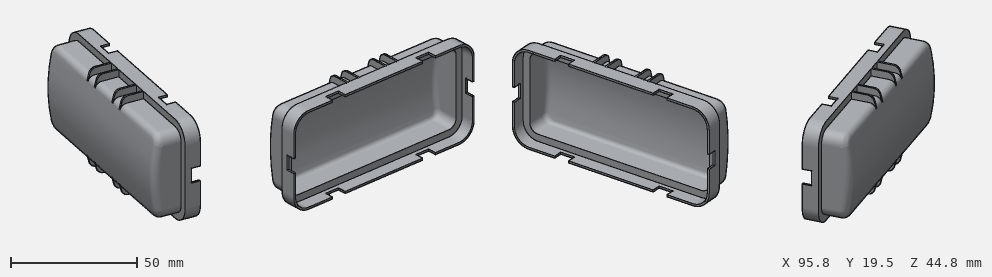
import cadquery as cq

LENGTH = 95.8
HEIGHT = 44.8
DEPTH = 19.5
WALL = 1.0

FLANGE_DEPTH = 7.0
FLANGE_CORNER_RADIUS = 8.0

BODY_INSET = 3.3
BODY_LENGTH = LENGTH - 2 * BODY_INSET
BODY_HEIGHT = HEIGHT - 2 * BODY_INSET
BODY_CORNER_RADIUS = FLANGE_CORNER_RADIUS - BODY_INSET
CROWN_RADIUS = 75.0
FRONT_FILLET = 3.0

RIB_WIDTH = 0.9
RIB_PAIR_OFFSET = 10.25
RIB_SPACING = 6.0

NOTCH_WIDTH = 6.7
NOTCH_DEPTH = 4.0
NOTCH_OFFSET = 23.95


def block(length, depth, height):
    """Box centred in X and Z, running from the back plane toward the front."""
    return cq.Workplane("XY").box(length, depth, height).translate((0, -depth / 2, 0))


def rounded_block(length, depth, height, corner_radius):
    """Block with its four corners rounded as seen from the front."""
    return block(length, depth, height).edges("|Y").fillet(corner_radius)


def crown(inset=0):
    """Cylinder along X whose foremost line is `inset` behind the front of the part."""
    axis_y = CROWN_RADIUS - DEPTH
    return (
        cq.Workplane("YZ")
        .center(axis_y, 0)
        .circle(CROWN_RADIUS - inset)
        .extrude(LENGTH / 2, both=True)
    )


def crowned_body(inset=0):
    """Rounded body with a crowned, filleted front; `inset` shrinks it evenly for the cavity."""
    body = rounded_block(
        BODY_LENGTH - 2 * inset, DEPTH, BODY_HEIGHT - 2 * inset, BODY_CORNER_RADIUS - inset
    )
    return body.intersect(crown(inset)).faces("<Y").edges().fillet(FRONT_FILLET - inset)


def rib(x):
    """Thin plate across the full height, flush with the crown and rounded at both front edges."""
    plate = block(RIB_WIDTH, DEPTH, HEIGHT).intersect(crown())
    return plate.faces("<Y").edges("|X").fillet(FRONT_FILLET).translate((x, 0, 0))


def make_outside():
    outside = rounded_block(LENGTH, FLANGE_DEPTH, HEIGHT, FLANGE_CORNER_RADIUS).union(crowned_body())
    for side in (-1, 1):
        for offset in (-RIB_SPACING / 2, RIB_SPACING / 2):
            outside = outside.union(rib(side * RIB_PAIR_OFFSET + offset))
    return outside


def make_cavity():
    """Hollow that leaves an even wall behind the flange, the body and the crowned front."""
    flange_hollow = rounded_block(
        LENGTH - 2 * WALL, FLANGE_DEPTH - WALL, HEIGHT - 2 * WALL, FLANGE_CORNER_RADIUS - WALL
    )
    return flange_hollow.union(crowned_body(WALL))


def make_notches():
    """One slot along the length and two across it, each opening both opposite rim walls."""
    notches = block(LENGTH, NOTCH_DEPTH, NOTCH_WIDTH)
    for x in (-NOTCH_OFFSET, NOTCH_OFFSET):
        notches = notches.union(block(NOTCH_WIDTH, NOTCH_DEPTH, HEIGHT).translate((x, 0, 0)))
    return notches


result = make_outside().cut(make_cavity()).cut(make_notches())